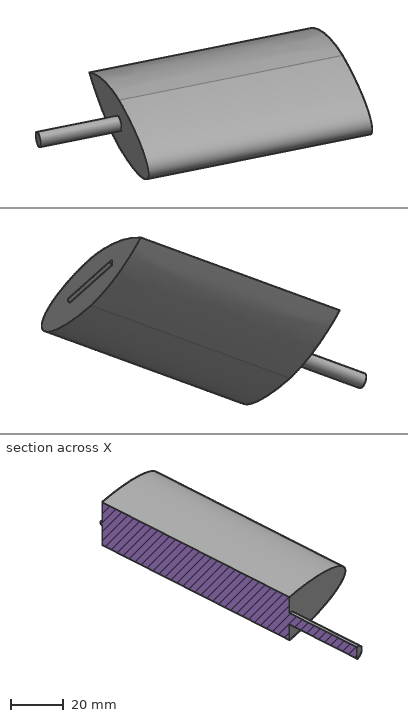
import cadquery as cq

total_length = 123.5
chord = 70.0
half_thickness = 11.0
tail_mid_z = 8.0
blade_span = 90.0
rod_diameter = 6.0
pin_radius = 1.0
pin_length = 30.0
half_chord = chord / 2
rod_length = total_length - blade_span - pin_radius


def make_blade():
    """Foil with an elliptical nose (+X) and a sharp tail (-X), from Y = 0 to the span."""
    tail_end = (-half_chord, 0)
    upper_side = [(-half_chord / 2, tail_mid_z), (0, half_thickness)]
    lower_side = [(-half_chord / 2, -tail_mid_z), tail_end]

    tail = (
        cq.Workplane("XZ")
        .moveTo(0, -half_thickness)
        .spline(lower_side, includeCurrent=True)
        .spline(upper_side, includeCurrent=True)
        .close()
        .extrude(-blade_span)
    )
    nose = (
        cq.Workplane("XZ")
        .ellipse(half_chord, half_thickness)
        .extrude(-blade_span)
        .intersect(
            cq.Workplane("XY").box(
                half_chord, blade_span, 2 * half_thickness, centered=(False, False, True)
            )
        )
    )
    return tail.union(nose)


def make_rod():
    """Round rod standing out of the front end face toward -Y."""
    return cq.Workplane("XZ").circle(rod_diameter / 2).extrude(rod_length)


def make_pin():
    """Pin along X, half sunk into the rear end face."""
    return (
        cq.Workplane("YZ", origin=(-pin_length / 2, blade_span, 0))
        .circle(pin_radius)
        .extrude(pin_length)
    )


result = make_blade().union(make_rod()).union(make_pin())